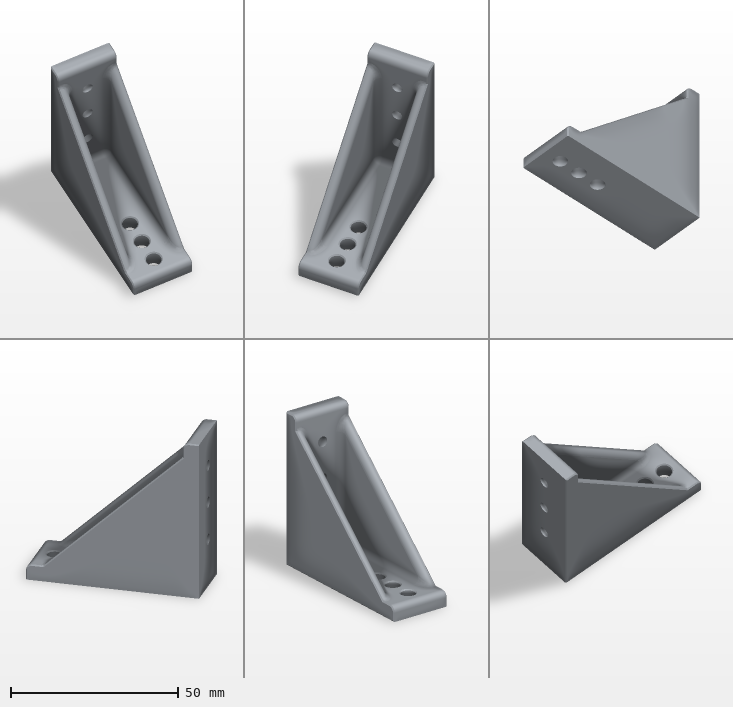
import cadquery as cq

LENGTH = 53.9
WIDTH = 20.0
HEIGHT = 50.0

PLATE = 5.0
BRACE_TOP = 45.3
BRACE_END = 48.45
NOSE_RADIUS = 2.0
EDGE_CHAMFER = 0.4

WALL = 3.0
INNER_RADIUS = 2.0

BASE_HOLE_DIAMETER = 4.7
BASE_HOLE_FIRST = 32.45
BASE_HOLE_PITCH = 7.65
BASE_HOLE_CHAMFER = 0.4

UPRIGHT_HOLE_DIAMETER = 3.4
UPRIGHT_HOLE_FIRST = 15.25
UPRIGHT_HOLE_PITCH = 12.0
HOLES_PER_PLATE = 3


def round_edges_near(shape, points, radius):
    """Fillet, in one step, the edges whose centres are nearest to the given points."""
    picked = [shape.edges(cq.selectors.NearestToPointSelector(point)).val() for point in points]
    return shape.newObject(picked).fillet(radius)


def make_body():
    """Solid triangular bracket with rounded plate ends and chamfered sides."""
    body = (
        cq.Workplane("XZ")
        .polyline([
            (0, 0),
            (LENGTH, 0),
            (LENGTH, PLATE),
            (BRACE_END, PLATE),
            (PLATE, BRACE_TOP),
            (PLATE, HEIGHT),
            (0, HEIGHT),
        ])
        .close()
        .extrude(WIDTH / 2, both=True)
    )
    noses = [(LENGTH, 0, PLATE), (PLATE, 0, HEIGHT)]
    body = round_edges_near(body, noses, NOSE_RADIUS)

    body = body.faces("<Y").edges().chamfer(EDGE_CHAMFER)
    back_edges = body.faces(">Y").edges("not(<X or <Z)")
    return back_edges.chamfer(EDGE_CHAMFER)


def hollow_inside(body):
    """Open the space between the side walls and round its edges and seams."""
    inner_y = WIDTH / 2 - WALL
    middle_x = (PLATE + BRACE_END) / 2
    middle_z = (PLATE + BRACE_TOP) / 2
    cavity = (
        cq.Workplane("XY")
        .box(LENGTH, 2 * inner_y, HEIGHT, centered=(False, True, False))
        .translate((PLATE, 0, PLATE))
    )
    hollow = body.cut(cavity)

    rims = [(middle_x, y, middle_z) for y in (-inner_y, inner_y)]
    hollow = round_edges_near(hollow, rims, INNER_RADIUS)

    seams = [(PLATE, 0, PLATE)]
    for y in (-inner_y, inner_y):
        seams.append((PLATE, y, middle_z))
        seams.append((middle_x, y, PLATE))
    return round_edges_near(hollow, seams, INNER_RADIUS)


def make_base_hole(x):
    """Vertical hole with a chamfered upper rim."""
    radius = BASE_HOLE_DIAMETER / 2
    rim_radius = radius + BASE_HOLE_CHAMFER
    return (
        cq.Workplane("XZ")
        .polyline([
            (0, 0),
            (radius, 0),
            (radius, PLATE - BASE_HOLE_CHAMFER),
            (rim_radius, PLATE),
            (0, PLATE),
        ])
        .close()
        .revolve(360, (0, 0), (0, 1))
        .translate((x, 0, 0))
    )


def make_upright_hole(z):
    """Plain horizontal hole through the upright."""
    return cq.Workplane("YZ").center(0, z).circle(UPRIGHT_HOLE_DIAMETER / 2).extrude(PLATE)


result = hollow_inside(make_body())
for index in range(HOLES_PER_PLATE):
    result = result.cut(make_base_hole(BASE_HOLE_FIRST + index * BASE_HOLE_PITCH))
    result = result.cut(make_upright_hole(UPRIGHT_HOLE_FIRST + index * UPRIGHT_HOLE_PITCH))